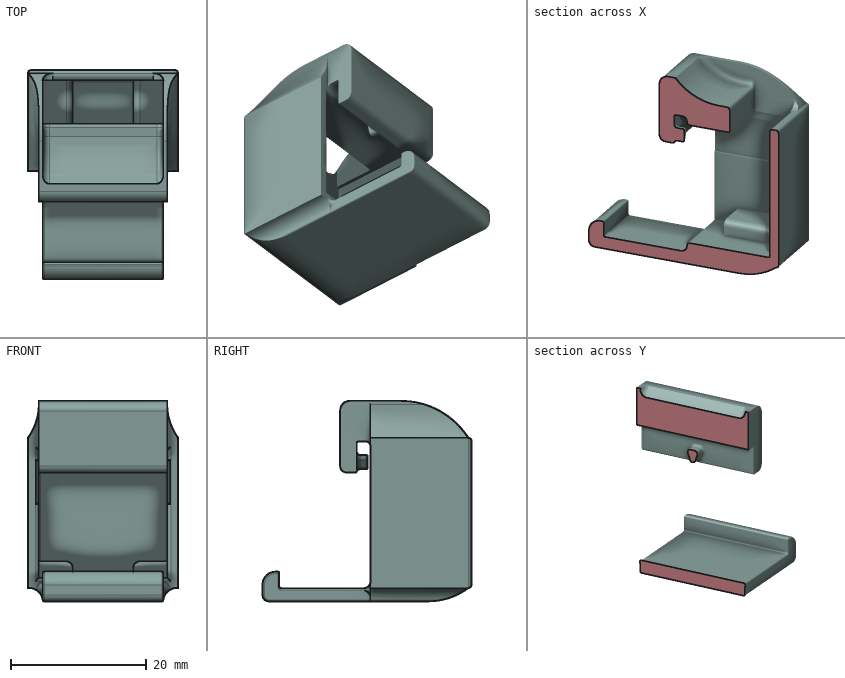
import cadquery as cq
import math


HOUSING_WIDTH = 22.25
HOUSING_DEPTH = 15.0
HEIGHT = 29.75
BACK_EDGE_RADIUS = 0.5
WALL_TOP_Z = 24.25
WALL_BOTTOM_Z = 2.0
TOP_ARC_START_Y = 4.5
BOTTOM_ARC_START_Y = 8.5
SHOULDER_HIGH_Z = 29.2
COVE_RADIUS = WALL_BOTTOM_Z

CAVITY_WIDTH = 19.05
CAVITY_BACK_Y = 13.5
CAVITY_FLOOR_Z = 3.5
CAVITY_CEILING_Z = 22.45
CAVITY_CORNER_RADIUS = 0.25
MOUTH_RADIUS = 0.5
GROOVE_DEPTH = 0.4
GROOVE_LOW_Z = 14.4
GROOVE_HIGH_Z = 21.0
GROOVE_CORNER_RADIUS = 0.2

STUB_INNER_X = 4.475
STUB_FRONT_Y = 4.0
STUB_TOP_Z = 5.95
STUB_RADIUS = 1.0

HOOK_WIDTH = CAVITY_WIDTH
HOOK_REACH = 4.5
HOOK_THICKNESS = 2.5
HOOK_BOTTOM_Z = 19.1
HOOK_UNDERSIDE_Z = 23.7
HOOK_TOP_RADIUS = 1.5
HOOK_TIP_RADIUS = 1.0
HOOK_INNER_RADIUS = 0.25
HOOK_ROOT_RADIUS = 0.7

PIN_TOP_Z = 21.72
PIN_BOTTOM_Z = 19.58
PIN_CORNER_RADIUS = 0.57
PIN_CORNER_SPACING = 0.7
PIN_LENGTH = 1.6
PIN_TIP_RADIUS = 0.25
PIN_FLARE_RADIUS = 0.45

TONGUE_WIDTH = 17.875
TONGUE_REACH = 16.0
TONGUE_THICKNESS = 2.0
LIP_THICKNESS = 2.5
LIP_TOP_Z = 4.45
LIP_TOP_RADIUS = 2.0
LIP_BOTTOM_RADIUS = 1.0
TONGUE_EDGE_RADIUS = 0.25
TONGUE_ROOT_RADIUS = 0.95

OPENING_WIDTH = TONGUE_WIDTH
SCOOP_FLOOR_Z = 26.55
SCOOP_FRONT_Y = -1.85
SCOOP_ARC_END_Y = 5.15
SCOOP_NOSE_Y = 7.05
SCOOP_SIDE_RADIUS = 1.0
LEDGE_SIDE_RADIUS = 1.5
LEDGE_CORNER_RADIUS = 0.75
OPENING_EDGE_RADIUS = 0.5


def box(x_range, y_range, z_range):
    """Axis-aligned block between the given limits."""
    size = [high - low for low, high in (x_range, y_range, z_range)]
    corner = (x_range[0], y_range[0], z_range[0])
    return cq.Workplane("XY").box(*size, centered=False).translate(corner)


def extrude_across(profile, width):
    """Extrude a YZ profile symmetrically in X."""
    return profile.extrude(width / 2, both=True)


def tangent_radius(run, rise):
    """Radius of an arc that leaves a line tangentially and moves `run` along it, `rise` off it."""
    return (run**2 + rise**2) / (2 * rise)


def make_side_outline():
    """Housing outline seen from the side, with the roof and floor curving to the back wall."""
    arc_end_y = HOUSING_DEPTH - BACK_EDGE_RADIUS
    top_radius = tangent_radius(arc_end_y - TOP_ARC_START_Y, HEIGHT - WALL_TOP_Z)
    bottom_radius = tangent_radius(arc_end_y - BOTTOM_ARC_START_Y, WALL_BOTTOM_Z)
    return (
        cq.Workplane("YZ")
        .moveTo(0, 0)
        .lineTo(BOTTOM_ARC_START_Y, 0)
        .radiusArc((arc_end_y, WALL_BOTTOM_Z), -bottom_radius)
        .lineTo(arc_end_y, WALL_TOP_Z)
        .radiusArc((TOP_ARC_START_Y, HEIGHT), -top_radius)
        .lineTo(0, HEIGHT)
        .close()
    )


def make_shoulder_cutter():
    """Hollow cut along the right roof edge, tangent to the side of the hook."""
    run = (HOUSING_WIDTH - HOOK_WIDTH) / 2
    radius = tangent_radius(SHOULDER_HIGH_Z - WALL_TOP_Z, run)
    return (
        cq.Workplane("XZ")
        .moveTo(HOUSING_WIDTH / 2, WALL_TOP_Z)
        .radiusArc((HOOK_WIDTH / 2, SHOULDER_HIGH_Z), radius)
        .lineTo(HOOK_WIDTH / 2, HEIGHT)
        .lineTo(HOUSING_WIDTH / 2, HEIGHT)
        .close()
        .extrude(-HOUSING_DEPTH)
    )


def make_cove_cutter():
    """Hollow cut along the right bottom edge, ending in a rounded lower edge."""
    center_x = TONGUE_WIDTH / 2 + COVE_RADIUS
    low_x = center_x - math.sqrt(COVE_RADIUS**2 - TONGUE_EDGE_RADIUS**2)
    return (
        cq.Workplane("XZ")
        .moveTo(HOUSING_WIDTH / 2, WALL_BOTTOM_Z)
        .lineTo(center_x, COVE_RADIUS)
        .radiusArc((low_x, TONGUE_EDGE_RADIUS), -COVE_RADIUS)
        .radiusArc((low_x - TONGUE_EDGE_RADIUS, 0), TONGUE_EDGE_RADIUS)
        .lineTo(HOUSING_WIDTH / 2, 0)
        .close()
        .extrude(-HOUSING_DEPTH)
    )


def make_housing():
    half_width = HOUSING_WIDTH / 2
    walls = box((-half_width, half_width), (0, HOUSING_DEPTH), (WALL_BOTTOM_Z, WALL_TOP_Z))
    walls = walls.faces(">Y").edges().fillet(BACK_EDGE_RADIUS)
    housing = extrude_across(make_side_outline(), HOUSING_WIDTH).union(walls)
    for cutter in (make_shoulder_cutter(), make_cove_cutter()):
        housing = housing.cut(cutter).cut(cutter.mirror("YZ"))
    return housing


def make_hook():
    hook = extrude_across(
        cq.Workplane("YZ")
        .moveTo(TOP_ARC_START_Y, HEIGHT)
        .lineTo(-HOOK_REACH, HEIGHT)
        .lineTo(-HOOK_REACH, HOOK_BOTTOM_Z)
        .lineTo(HOOK_THICKNESS - HOOK_REACH, HOOK_BOTTOM_Z)
        .lineTo(HOOK_THICKNESS - HOOK_REACH, HOOK_UNDERSIDE_Z)
        .lineTo(-HOOK_ROOT_RADIUS, HOOK_UNDERSIDE_Z)
        .radiusArc((0, HOOK_UNDERSIDE_Z - HOOK_ROOT_RADIUS), HOOK_ROOT_RADIUS)
        .lineTo(TOP_ARC_START_Y, HOOK_UNDERSIDE_Z - HOOK_ROOT_RADIUS)
        .close(),
        HOOK_WIDTH,
    )
    hook = hook.edges("|X and <Y and >Z").fillet(HOOK_TOP_RADIUS)
    hook = hook.faces("<Z").edges("<Y").fillet(HOOK_TIP_RADIUS)
    hook = hook.faces("<Z").edges(">Y").fillet(HOOK_INNER_RADIUS)
    inner_corner = (0, HOOK_THICKNESS - HOOK_REACH, HOOK_UNDERSIDE_Z)
    return hook.edges(cq.NearestToPointSelector(inner_corner)).fillet(HOOK_INNER_RADIUS)


def make_pin():
    """Pin of rounded triangular section, point down, with a flared base and a rounded tip."""
    base_y = HOOK_THICKNESS - HOOK_REACH
    upper_z = PIN_TOP_Z - PIN_CORNER_RADIUS
    lower_z = PIN_BOTTOM_Z + PIN_CORNER_RADIUS
    corners = [(-PIN_CORNER_SPACING / 2, upper_z), (PIN_CORNER_SPACING / 2, upper_z), (0, lower_z)]
    pin = (
        cq.Workplane("XZ", origin=(0, base_y, 0))
        .polyline(corners)
        .close()
        .offset2D(PIN_CORNER_RADIUS)
        .extrude(-PIN_LENGTH)
    )
    pin = pin.faces(">Y").edges().fillet(PIN_TIP_RADIUS)
    plate_y = base_y - HOOK_THICKNESS
    x_range = (-HOOK_WIDTH / 2, HOOK_WIDTH / 2)
    plate = box(x_range, (plate_y, base_y), (HOOK_BOTTOM_Z - HOOK_THICKNESS, HOOK_UNDERSIDE_Z))
    pin = pin.union(plate).edges(cq.NearestToPointSelector((0, base_y, PIN_TOP_Z)))
    pin = pin.fillet(PIN_FLARE_RADIUS)
    flat_bottom_z = HOOK_BOTTOM_Z + HOOK_INNER_RADIUS
    return pin.intersect(box(x_range, (base_y, 0), (flat_bottom_z, HOOK_UNDERSIDE_Z)))


def make_tongue():
    lip_inner_y = LIP_THICKNESS - TONGUE_REACH
    tongue = extrude_across(
        cq.Workplane("YZ")
        .moveTo(BOTTOM_ARC_START_Y, 0)
        .lineTo(-TONGUE_REACH, 0)
        .lineTo(-TONGUE_REACH, LIP_TOP_Z)
        .lineTo(lip_inner_y, LIP_TOP_Z)
        .lineTo(lip_inner_y, TONGUE_THICKNESS)
        .lineTo(BOTTOM_ARC_START_Y, TONGUE_THICKNESS)
        .close(),
        TONGUE_WIDTH,
    )
    tongue = tongue.edges("|X and <Y and >Z").fillet(LIP_TOP_RADIUS)
    tongue = tongue.edges("|X and <Y and <Z").fillet(LIP_BOTTOM_RADIUS)
    for edge_z in (TONGUE_THICKNESS, LIP_TOP_Z):
        lip_edge = tongue.edges(cq.NearestToPointSelector((0, lip_inner_y, edge_z)))
        tongue = lip_edge.fillet(TONGUE_EDGE_RADIUS)
    return tongue.faces("<X or >X").edges("not >Y").fillet(TONGUE_EDGE_RADIUS)


def make_cavity():
    half_width = CAVITY_WIDTH / 2
    cavity = box(
        (-half_width, half_width),
        (0, CAVITY_BACK_Y),
        (CAVITY_FLOOR_Z, CAVITY_CEILING_Z),
    )
    return cavity.faces(">Y").edges().fillet(CAVITY_CORNER_RADIUS)


def make_groove():
    """Block spanning the cavity that leaves a shallow groove in each side wall."""
    half_width = CAVITY_WIDTH / 2 + GROOVE_DEPTH
    back_y = CAVITY_BACK_Y - CAVITY_CORNER_RADIUS
    groove = box((-half_width, half_width), (0, back_y), (GROOVE_LOW_Z, GROOVE_HIGH_Z))
    return groove.edges("|X and >Y or |Z and >Y").fillet(GROOVE_CORNER_RADIUS)


def make_tongue_root():
    """Hollow flare blending the top of the tongue, and its rounded corners, into the housing."""
    inner = TONGUE_EDGE_RADIUS
    outer = TONGUE_EDGE_RADIUS + TONGUE_ROOT_RADIUS
    corner_x = TONGUE_WIDTH / 2 - TONGUE_EDGE_RADIUS
    corner_z = TONGUE_THICKNESS - TONGUE_EDGE_RADIUS
    horn = (
        cq.Workplane("XY")
        .moveTo(0, 0)
        .lineTo(outer, 0)
        .radiusArc((inner, -TONGUE_ROOT_RADIUS), -TONGUE_ROOT_RADIUS)
        .lineTo(0, -TONGUE_ROOT_RADIUS)
        .close()
        .revolve(360, (0, 0, 0), (0, 1, 0))
        .translate((corner_x, 0, corner_z))
        .cut(make_cove_cutter().translate((0, -TONGUE_ROOT_RADIUS, 0)))
    )
    strip = extrude_across(
        cq.Workplane("YZ")
        .moveTo(0, corner_z)
        .lineTo(0, corner_z + outer)
        .radiusArc((-TONGUE_ROOT_RADIUS, TONGUE_THICKNESS), TONGUE_ROOT_RADIUS)
        .lineTo(-TONGUE_ROOT_RADIUS, corner_z)
        .close(),
        2 * corner_x,
    )
    return strip.union(horn).union(horn.mirror("YZ"))


def make_opening():
    """Roof opening: a scooped floor at the front, a drop into the cavity, a ledge at the back."""
    arc_radius = tangent_radius(SCOOP_ARC_END_Y - SCOOP_FRONT_Y, HEIGHT - SCOOP_FLOOR_Z)
    scoop = extrude_across(
        cq.Workplane("YZ")
        .moveTo(SCOOP_FRONT_Y, HEIGHT)
        .radiusArc((SCOOP_ARC_END_Y, SCOOP_FLOOR_Z), -arc_radius)
        .lineTo(CAVITY_BACK_Y, SCOOP_FLOOR_Z)
        .lineTo(CAVITY_BACK_Y, HEIGHT)
        .close(),
        OPENING_WIDTH,
    )
    scoop = scoop.faces("<Z").edges("|Y").fillet(SCOOP_SIDE_RADIUS)
    half_width = OPENING_WIDTH / 2
    x_range = (-half_width, half_width)
    drop = box(x_range, (SCOOP_NOSE_Y, CAVITY_BACK_Y), (CAVITY_CEILING_Z - MOUTH_RADIUS, HEIGHT))
    ledge = box(x_range, (SCOOP_NOSE_Y, HOUSING_DEPTH - BACK_EDGE_RADIUS), (WALL_TOP_Z, HEIGHT))
    round_cornered = ledge.edges("|Z and >Y").fillet(LEDGE_CORNER_RADIUS)
    ledge = ledge.edges("|Y and <Z").fillet(LEDGE_SIDE_RADIUS).intersect(round_cornered)
    ledge_edge = extrude_across(
        cq.Workplane("YZ")
        .moveTo(CAVITY_BACK_Y, WALL_TOP_Z)
        .lineTo(CAVITY_BACK_Y + OPENING_EDGE_RADIUS, WALL_TOP_Z)
        .radiusArc((CAVITY_BACK_Y, WALL_TOP_Z - OPENING_EDGE_RADIUS), -OPENING_EDGE_RADIUS)
        .close(),
        OPENING_WIDTH - 2 * LEDGE_SIDE_RADIUS,
    )
    return scoop.union(ledge).union(drop).union(ledge_edge)


def make_stub():
    stub = box(
        (STUB_INNER_X, CAVITY_WIDTH / 2),
        (STUB_FRONT_Y, CAVITY_BACK_Y),
        (CAVITY_FLOOR_Z, STUB_TOP_Z),
    )
    return stub.edges("|Y and >Z and <X").fillet(STUB_RADIUS)


housing = make_housing().cut(make_cavity())
mouth_edges = housing.faces("<Y").wires(cq.selectors.AreaNthSelector(0)).edges()
housing = mouth_edges.fillet(MOUTH_RADIUS)

result = housing.union(make_tongue()).union(make_tongue_root())
result = result.union(make_hook()).union(make_pin())
result = result.cut(make_groove()).cut(make_opening())

scoop_nose = result.edges(cq.NearestToPointSelector((0, SCOOP_NOSE_Y, SCOOP_FLOOR_Z)))
result = scoop_nose.fillet(OPENING_EDGE_RADIUS)

right_stub = make_stub()
result = result.union(right_stub).union(right_stub.mirror("YZ"))